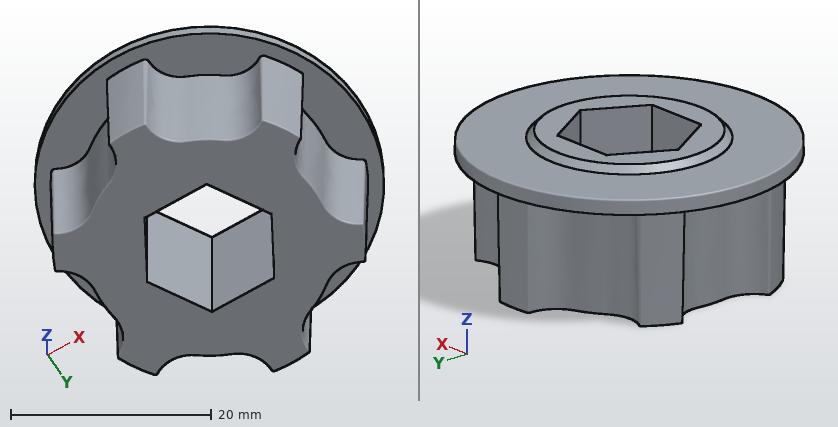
import cadquery as cq
import math

draft_angle = 1.0

flange_radius = 17.4625
flange_thickness = 1.5875
flange_edge_round = 0.2

boss_height = 0.79375
boss_top_radius = 9.525
boss_base_radius = boss_top_radius + boss_height

lobe_count = 6
hub_depth = 12.7
lobe_tip_radius = 15.875
core_radius = 12.7
lobe_corner_radius = 0.46
lobe_half_angle = math.radians(7.37)
core_half_angle = math.radians(8.2)
hub_edge_round = 0.17

hex_side_count = 6
hex_across_flats = 12.7
hex_across_corners = hex_across_flats / math.cos(math.pi / hex_side_count)


def polar(radius, angle, center=(0, 0)):
    return (center[0] + radius * math.cos(angle), center[1] + radius * math.sin(angle))


def direction(start, end):
    return math.atan2(end[1] - start[1], end[0] - start[0])


def root_fillet_radius(pitch_half_angle):
    """Radius of the concave arc tangent to both the core and the rounded lobe corner."""
    corner_distance = lobe_tip_radius - lobe_corner_radius
    spread_cosine = math.cos(pitch_half_angle - lobe_half_angle - core_half_angle)
    numerator = (
        core_radius**2
        + corner_distance**2
        - 2 * core_radius * corner_distance * spread_cosine
        - lobe_corner_radius**2
    )
    return numerator / (2 * (lobe_corner_radius - core_radius + corner_distance * spread_cosine))


def add_lobe(outline, lobe_angle, pitch_half_angle):
    """Trace one lobe tip and the groove after it, counter-clockwise, up to the next lobe tip."""
    groove_angle = lobe_angle + pitch_half_angle
    next_lobe_angle = groove_angle + pitch_half_angle
    root_radius = root_fillet_radius(pitch_half_angle)

    def flank(tip_angle, core_angle):
        """Corner start, corner middle, corner end, root middle and root end of one lobe flank."""
        corner = polar(lobe_tip_radius - lobe_corner_radius, tip_angle)
        root = polar(core_radius + root_radius, core_angle)
        toward_root = direction(corner, root)
        toward_corner = direction(root, corner)
        toward_core = direction(root, (0, 0))
        corner_turn = math.remainder(toward_root - tip_angle, 2 * math.pi)
        root_turn = math.remainder(toward_core - toward_corner, 2 * math.pi)
        return (
            polar(lobe_tip_radius, tip_angle),
            polar(lobe_corner_radius, tip_angle + corner_turn / 2, corner),
            polar(lobe_corner_radius, toward_root, corner),
            polar(root_radius, toward_corner + root_turn / 2, root),
            polar(core_radius, core_angle),
        )

    falling = flank(lobe_angle + lobe_half_angle, groove_angle - core_half_angle)
    rising = flank(next_lobe_angle - lobe_half_angle, groove_angle + core_half_angle)[::-1]
    return (
        outline.threePointArc(polar(lobe_tip_radius, lobe_angle), falling[0])
        .threePointArc(falling[1], falling[2])
        .threePointArc(falling[3], falling[4])
        .threePointArc(polar(core_radius, groove_angle), rising[0])
        .threePointArc(rising[1], rising[2])
        .threePointArc(rising[3], rising[4])
    )


def make_hub():
    """Drafted hub with lobes at the ends of the Y axis and a rounded bottom edge."""
    pitch_half_angle = math.pi / lobe_count
    first_lobe_angle = math.pi / 2
    outline = cq.Workplane("XY").moveTo(*polar(lobe_tip_radius, first_lobe_angle - lobe_half_angle))
    for index in range(lobe_count):
        outline = add_lobe(outline, first_lobe_angle + 2 * index * pitch_half_angle, pitch_half_angle)
    hub = outline.close().extrude(-hub_depth, taper=draft_angle)
    return hub.faces("<Z").edges().fillet(hub_edge_round)


def make_flange():
    flange = cq.Workplane("XY").circle(flange_radius).extrude(flange_thickness, taper=draft_angle)
    return flange.faces(">Z").edges().fillet(flange_edge_round)


def make_boss():
    boss_top = flange_thickness + boss_height
    profile = (
        cq.Workplane("XZ")
        .moveTo(0, flange_thickness)
        .lineTo(boss_base_radius, flange_thickness)
        .lineTo(boss_top_radius, boss_top)
        .lineTo(0, boss_top)
        .close()
    )
    return profile.revolve(360, (0, 0), (0, 1))


def make_hex_hole():
    total_height = hub_depth + flange_thickness + boss_height
    hexagon = cq.Workplane("XY", origin=(0, 0, -hub_depth)).polygon(hex_side_count, hex_across_corners)
    return hexagon.extrude(total_height)


result = make_hub().union(make_flange()).union(make_boss()).cut(make_hex_hole())